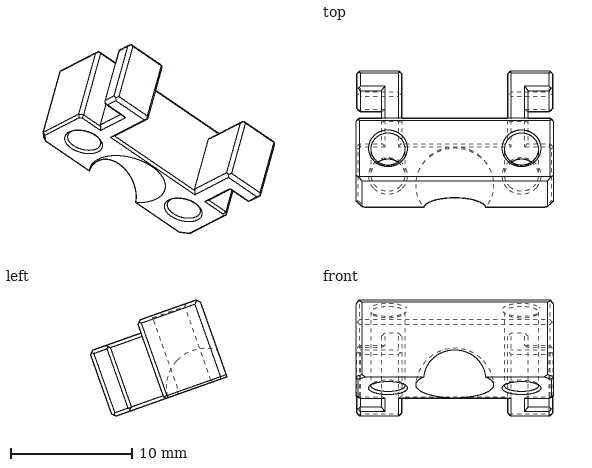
import cadquery as cq

TILT = 19.5
EDGE_CHAMFER = 0.3

BODY_WIDTH = 16.3
BODY_DEPTH = 5.48
BODY_HEIGHT = 6.83
FRONT_SIDE_CHAMFER = 0.5
BOTTOM_CHAMFER = 0.2

HOLE_DIAMETER = 2.8
HOLE_SPACING = 11.0
HOLE_SETBACK = 2.75
HOLE_CHAMFER = 0.2

SOCKET_RADIUS = 3.22
SOCKET_DROP = 0.2
SOCKET_SETBACK = 1.96

HOOK_REACH = 10.0
HOOK_HEIGHT = 5.78
HOOK_OUTER_X = 8.08
HOOK_INNER_X = 4.35
ARM_THICKNESS = 1.7
TIP_THICKNESS = 1.75


def make_body():
    """Block chamfered on every edge but the front bottom one; the front side edges get more."""
    block = cq.Workplane("XY").box(
        BODY_WIDTH, BODY_DEPTH, BODY_HEIGHT, centered=(True, False, False)
    )
    top_chamfered = block.faces(">Z").edges().chamfer(EDGE_CHAMFER)
    sides_chamfered = block.edges("|Z and <Y").chamfer(FRONT_SIDE_CHAMFER)
    sides_chamfered = sides_chamfered.edges("|Z and >Y").chamfer(EDGE_CHAMFER)
    body = top_chamfered.intersect(sides_chamfered)
    return body.faces("<Z").edges("not <Y").chamfer(BOTTOM_CHAMFER)


def make_hook():
    """L-shaped hook on the +X side, its tip pointing outwards."""
    arm_outer_x = HOOK_INNER_X + ARM_THICKNESS
    root_y = BODY_DEPTH / 2
    tip_front_y = HOOK_REACH - TIP_THICKNESS
    outline = [
        (HOOK_INNER_X, root_y),
        (arm_outer_x, root_y),
        (arm_outer_x, tip_front_y),
        (HOOK_OUTER_X, tip_front_y),
        (HOOK_OUTER_X, HOOK_REACH),
        (HOOK_INNER_X, HOOK_REACH),
    ]
    blank = cq.Workplane("XY").polyline(outline).close().extrude(HOOK_HEIGHT)
    rims_chamfered = blank.faces("<Z or >Z").edges("not <Y").chamfer(EDGE_CHAMFER)
    corners_chamfered = blank.edges("|Z and (>X or >Y)").chamfer(EDGE_CHAMFER)
    return rims_chamfered.intersect(corners_chamfered)


def make_hole(x):
    """Cutter for a screw hole chamfered at both ends."""
    radius = HOLE_DIAMETER / 2
    mouth_radius = radius + HOLE_CHAMFER
    half_profile = [
        (0, 0),
        (mouth_radius, 0),
        (radius, HOLE_CHAMFER),
        (radius, BODY_HEIGHT - HOLE_CHAMFER),
        (mouth_radius, BODY_HEIGHT),
        (0, BODY_HEIGHT),
    ]
    cutter = cq.Workplane("XZ").polyline(half_profile).close().revolve(360, (0, 0), (0, 1))
    return cutter.translate((x, HOLE_SETBACK, 0))


def make_socket():
    """Ball cutter centred slightly below the bottom plane, its poles along Y."""
    ball = cq.Workplane("XY").sphere(SOCKET_RADIUS).rotate((0, 0, 0), (1, 0, 0), 90)
    return ball.translate((0, SOCKET_SETBACK, -SOCKET_DROP))


hook = make_hook()
part = make_body().union(hook).union(hook.mirror("YZ"))
for hole_x in (-HOLE_SPACING / 2, HOLE_SPACING / 2):
    part = part.cut(make_hole(hole_x))
part = part.cut(make_socket())

result = part.rotate((0, 0, 0), (1, 0, 0), -TILT)